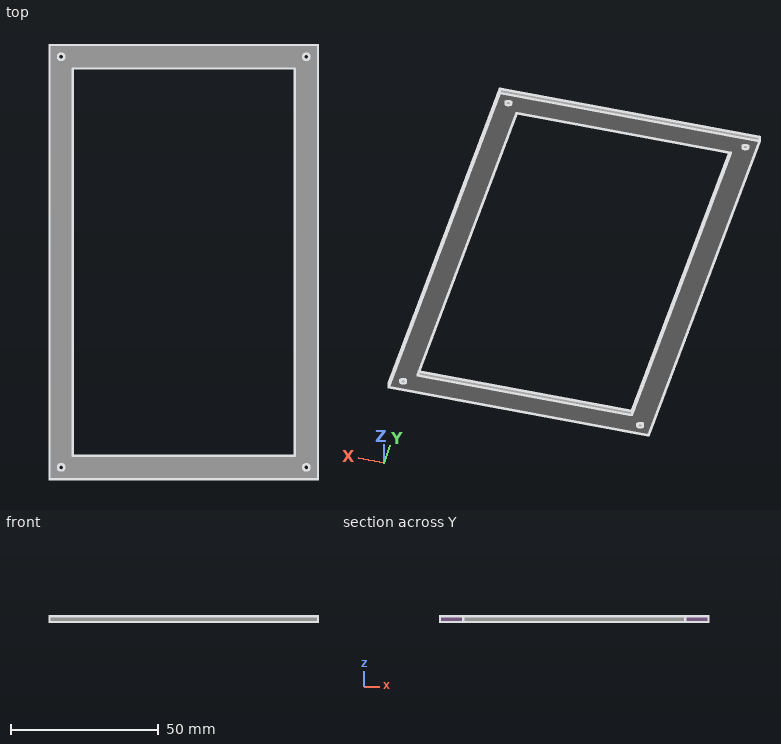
import cadquery as cq

width = 91.0
length = 147.0
thickness = 2.0

window_width = 75.0
window_length = 131.0

hole_diameter = 2.0
hole_spacing_x = (width + window_width) / 2
hole_spacing_y = (length + window_length) / 2

plate = cq.Workplane("XY").box(width, length, thickness)

frame = plate.faces(">Z").workplane().rect(window_width, window_length).cutThruAll()

result = (
    frame.faces(">Z")
    .workplane(origin=(0, 0, 0))
    .rect(hole_spacing_x, hole_spacing_y, forConstruction=True)
    .vertices()
    .hole(hole_diameter)
)